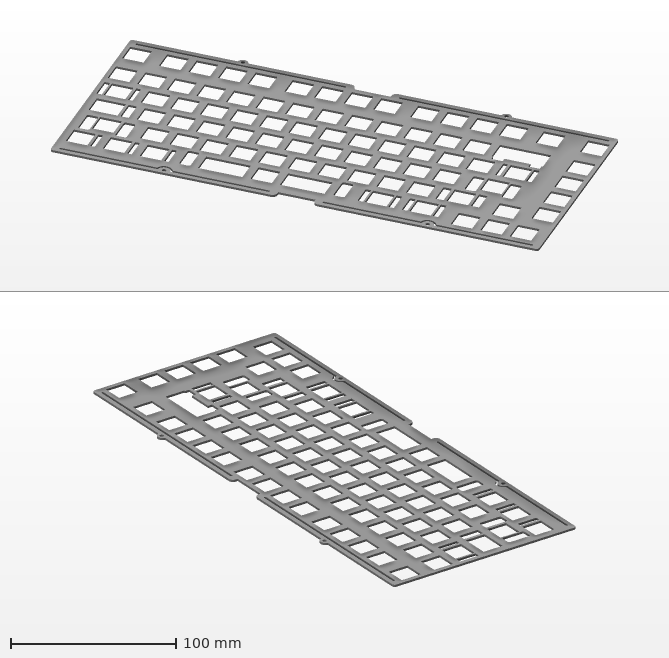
import cadquery as cq

LENGTH = 316.3
DEPTH = 138.0
THICKNESS = 1.5
OUTER_CORNER_RADIUS = 2.0
NOTCH_HALF_WIDTH = 12.0
NOTCH_DEPTH = 4.5
SHOULDER_RADIUS = 3.2

TAB_RADIUS = 3.5
TAB_OVERHANG = 3.0
HOLE_DIAMETER = 2.7
HOLE_X = 85.5
HOLE_INSET = 3.0
RELIEF_INSET = 2.2
RELIEF_INNER_RADIUS = 4.0
RELIEF_OUTER_RADIUS = 5.5

SLOT_WIDTH = 1.5
FRONT_SLOT_OFFSET = 3.5
REAR_SLOT_OFFSET = 3.8
SLOT_OUTER_END = 153.5
SLOT_INNER_END = 17.0

COLUMN_SPAN = 15.5
COLUMN_MARGIN = 9.8
FIRST_ROW_OFFSET = 15.0
KEY_SIZE = 14.0
THIN_WALL = 1.3
THICK_WALL = 2.0

STABILIZER_WIDTH = 7.3
STABILIZER_HEIGHT = 16.0
STABILIZER_OVERHANG = 2.5
RIGHT_STABILIZER_OVERHANG = 3.0
STABILIZER_SPACING = 12.0
SPACEBAR_STABILIZER_SPACING = 50.0
STABILIZER_CORNER_RADIUS = 1.3

PITCH = (LENGTH - 2 * COLUMN_MARGIN) / COLUMN_SPAN
FRONT_EDGE = -DEPTH / 2
REAR_EDGE = DEPTH / 2 - TAB_OVERHANG
RELIEF_Y = FRONT_EDGE + RELIEF_INSET
REAR_TAB_Y = DEPTH / 2 - TAB_RADIUS
FRONT_SLOT_Y = FRONT_EDGE + FRONT_SLOT_OFFSET
REAR_SLOT_Y = REAR_EDGE - REAR_SLOT_OFFSET
HOLE_Y = DEPTH / 2 - HOLE_INSET
HOLE_CENTERS = [(x, y) for x in (-HOLE_X, HOLE_X) for y in (-HOLE_Y, HOLE_Y)]


def column_x(column):
    """X of a key position counted in pitches from the left column."""
    return -LENGTH / 2 + COLUMN_MARGIN + column * PITCH


def row_y(row):
    """Y of a row counted in pitches from the rear row."""
    return REAR_EDGE - FIRST_ROW_OFFSET - row * PITCH


def block(left, right, bottom, top):
    """Box through the full thickness between the given sides."""
    return cq.Workplane("XY").box(right - left, top - bottom, THICKNESS).translate(
        ((left + right) / 2, (bottom + top) / 2, 0)
    )


def disc(x, y, radius):
    """Full-thickness cylinder."""
    return cq.Workplane("XY").cylinder(THICKNESS, radius).translate((x, y, 0))


def key_openings(row, columns):
    """Square openings for single keys of one row."""
    return (
        cq.Workplane("XY", origin=(0, row_y(row), -THICKNESS / 2))
        .pushPoints([(column_x(column), 0) for column in columns])
        .rect(KEY_SIZE, KEY_SIZE)
        .extrude(THICKNESS)
    )


def wide_opening(row, first, last, key, left_wall, right_wall):
    """Opening swept from one key position to another, keeping walls (0 for none) beside the key."""
    half = KEY_SIZE / 2
    bottom, top = row_y(row) - half, row_y(row) + half
    opening = block(column_x(first) - half, column_x(last) + half, bottom, top)
    key_left, key_right = column_x(key) - half, column_x(key) + half
    if left_wall > 0:
        opening = opening.cut(block(key_left - left_wall, key_left, bottom, top))
    if right_wall > 0:
        opening = opening.cut(block(key_right, key_right + right_wall, bottom, top))
    return opening


def stabilizer_pair(column, row, spacing, overhang, direction, corner_radius):
    """Two pockets about a key, overhanging its opening to the rear (+1) or front (-1)."""
    offset = KEY_SIZE / 2 + overhang - STABILIZER_HEIGHT / 2
    y = row_y(row) + direction * offset
    x = column_x(column)
    pockets = (
        cq.Workplane("XY")
        .pushPoints([(x - spacing, y), (x + spacing, y)])
        .box(STABILIZER_WIDTH, STABILIZER_HEIGHT, THICKNESS)
    )
    if corner_radius > 0:
        pockets = pockets.edges("|Z").fillet(corner_radius)
    return pockets


def plate_body():
    """Rounded plate with a notch in each long edge and the rear tabs."""
    left, right = -LENGTH / 2, LENGTH / 2
    body = block(left, right, FRONT_EDGE, REAR_EDGE).edges("|Z").fillet(OUTER_CORNER_RADIUS)
    for edge in (FRONT_EDGE, REAR_EDGE):
        body = body.cut(
            block(-NOTCH_HALF_WIDTH, NOTCH_HALF_WIDTH, edge - NOTCH_DEPTH, edge + NOTCH_DEPTH)
        )
        reach = NOTCH_DEPTH / 2
        shoulders = cq.selectors.BoxSelector(
            (-NOTCH_HALF_WIDTH - reach, edge - reach, -THICKNESS),
            (NOTCH_HALF_WIDTH + reach, edge + reach, THICKNESS),
        )
        body = body.edges("|Z").edges(shoulders).fillet(SHOULDER_RADIUS)
    for side in (-1, 1):
        body = body.union(disc(side * HOLE_X, REAR_TAB_Y, TAB_RADIUS))
    return body


def flex_slots():
    """Four long slots, the front ones with relief arcs."""
    length = SLOT_OUTER_END - SLOT_INNER_END
    middle = (SLOT_OUTER_END + SLOT_INNER_END) / 2
    centers = [(side * middle, y) for side in (-1, 1) for y in (FRONT_SLOT_Y, REAR_SLOT_Y)]
    slots = (
        cq.Workplane("XY", origin=(0, 0, -THICKNESS / 2))
        .pushPoints(centers)
        .slot2D(length, SLOT_WIDTH)
        .extrude(THICKNESS)
    )
    front = FRONT_SLOT_Y - SLOT_WIDTH / 2
    rear = RELIEF_Y + RELIEF_OUTER_RADIUS
    for side in (-1, 1):
        x = side * HOLE_X
        arch = disc(x, RELIEF_Y, RELIEF_OUTER_RADIUS).intersect(
            block(x - RELIEF_OUTER_RADIUS, x + RELIEF_OUTER_RADIUS, front, rear)
        )
        slots = slots.union(arch).cut(disc(x, RELIEF_Y, RELIEF_INNER_RADIUS))
    return slots



SINGLE_KEYS = {
    0: [0, 1.25, 2.25, 3.25, 4.25, 5.5, 6.5, 7.5, 8.5, 9.75, 10.75, 11.75, 12.75, 14, 15.5],
    1.25: list(range(13)) + [15.5],
    2.25: [1.5 + i for i in range(12)] + [15.5],
    3.25: [1.75 + i for i in range(11)] + [13.375, 15.5],
    4.25: [0.625] + [2.25 + i for i in range(10)] + [15.5],
    4.5: [14.25],
    5.25: [6.375],
    5.5: [13.25, 14.25, 15.25],
}

WIDE_KEYS = [
    (1.25, 13, 14, 13.5, 0, 0),
    (2.25, 0, 0.5, 0.25, THIN_WALL, THICK_WALL),
    (2.25, 13.5, 14, 13.75, THICK_WALL, THIN_WALL),
    (3.25, 0.125, 0.75, 0.375, 0, THICK_WALL),
    (4.25, 12.25, 13, 12.625, THICK_WALL, THICK_WALL),
    (5.25, 0.125, 0.375, 0.125, 0, THICK_WALL),
    (5.25, 1.375, 1.625, 1.375, 0, THICK_WALL),
    (5.25, 2.625, 2.875, 2.625, 0, THICK_WALL),
    (5.25, 4.6, 5.375, 5, 0, 0),
    (5.25, 7.375, 8.15, 7.75, 0, 0),
    (5.25, 10, 10.5, 10.25, THIN_WALL, THIN_WALL),
    (5.25, 11.5, 12, 11.75, THIN_WALL, THIN_WALL),
]

STABILIZERS = [
    (13.5, 1.25, STABILIZER_SPACING, RIGHT_STABILIZER_OVERHANG, -1, 0),
    (13.35, 3.25, STABILIZER_SPACING, RIGHT_STABILIZER_OVERHANG, -1, STABILIZER_CORNER_RADIUS),
    (0.65, 4.25, STABILIZER_SPACING, STABILIZER_OVERHANG, -1, STABILIZER_CORNER_RADIUS),
    (6.38, 5.25, SPACEBAR_STABILIZER_SPACING, STABILIZER_OVERHANG, 1, STABILIZER_CORNER_RADIUS),
]

result = plate_body().cut(flex_slots())
for row, columns in SINGLE_KEYS.items():
    result = result.cut(key_openings(row, columns))
for wide_key in WIDE_KEYS:
    result = result.cut(wide_opening(*wide_key))
for stabilizer in STABILIZERS:
    result = result.cut(stabilizer_pair(*stabilizer))
for x, y in HOLE_CENTERS:
    result = result.cut(disc(x, y, HOLE_DIAMETER / 2))